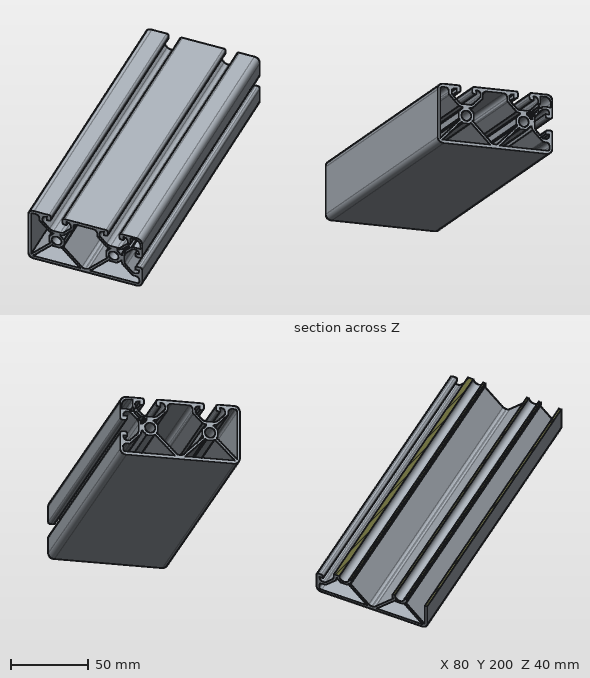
import cadquery as cq
import math

module = 40.0
width = 2 * module
height = module
length = 200.0
half_width = width / 2
half_height = height / 2
hub_offset = module / 2
corner_radius = 4.0
overlap = 2.0

wall = 2.0
face_wall = 2.2
rib_thickness = 1.8
web_rise = 0.5
web_radius = 3.0

hub_half_width = 5.2
hub_half_side = 2.5
screw_hole_radius = 3.5

slot_half_opening = 4.0
lip_width = 2.8
lip_radius = 1.5
lip_end = 15.2
undercut_top = 17.8
undercut_half_width = 10.0
undercut_bottom = 13.5
undercut_radius = 2.5
slot_floor = 7.5
slot_bend_radius = 1.0
floor_radius = 4.0

liner_half_width = undercut_half_width + face_wall
middle_liner_half_width = 11.5
liner_slope_offset = 1.2
liner_bend_radius = 1.2
liner_floor = 6.2
liner_toe = 5.5
liner_root_radius = 2.5
cavity_radius = 1.5

inner_left = -half_width + wall
inner_right = half_width - wall
inner_top = half_height - face_wall
inner_bottom = -half_height + face_wall
rib_shift = rib_thickness / 2 * math.sqrt(2)


def prism(corners):
    """Extrude a closed outline along Y; each corner is (x, z) or (x, z, fillet radius)."""
    count = len(corners)
    arcs = []
    for i, corner in enumerate(corners):
        point = cq.Vector(*corner[:2])
        radius = corner[2] if len(corner) > 2 else 0
        if radius == 0:
            arcs.append((point,))
            continue
        back = (cq.Vector(*corners[i - 1][:2]) - point).normalized()
        ahead = (cq.Vector(*corners[(i + 1) % count][:2]) - point).normalized()
        half_angle = back.getAngle(ahead) / 2
        tangent = radius / math.tan(half_angle)
        to_arc = radius / math.sin(half_angle) - radius
        middle = point + (back + ahead).normalized() * to_arc
        arcs.append((point + back * tangent, middle, point + ahead * tangent))

    outline = cq.Workplane("XZ").moveTo(arcs[0][-1].x, arcs[0][-1].y)
    for arc in arcs[1:] + arcs[:1]:
        outline = outline.lineTo(arc[0].x, arc[0].y)
        if len(arc) == 3:
            outline = outline.threePointArc(arc[1].toTuple()[:2], arc[2].toTuple()[:2])
    return outline.close().extrude(length / 2, both=True)


def screw_hole(x):
    return cq.Workplane("XZ").center(x, 0).circle(screw_hole_radius).extrude(length / 2, both=True)


def hub(x):
    """Octagonal boss with flats facing along X and Z."""
    boss = cq.Workplane("XY").box(2 * hub_half_width, length, 2 * hub_half_width)
    boss = boss.edges("|Y").chamfer(hub_half_width - hub_half_side)
    return boss.translate((x, 0, 0))


def mirrored(half):
    """Complete an outline whose right half is given, mirroring it about X = 0."""
    return half + [(-corner[0], *corner[1:]) for corner in reversed(half)]


def shifted(corners, x):
    return [(corner[0] + x, *corner[1:]) for corner in corners]


def slot_cutter():
    """T-slot opening upward over a hub at the origin."""
    inner_lip = slot_half_opening + lip_width
    mouth = slot_half_opening + lip_radius + overlap
    floor_half_width = slot_floor - undercut_bottom + undercut_half_width
    half = [
        (mouth, half_height + overlap),
        (mouth, half_height),
        (slot_half_opening, half_height, lip_radius),
        (slot_half_opening, lip_end, lip_radius),
        (inner_lip, lip_end),
        (inner_lip, undercut_top),
        (undercut_half_width, undercut_top, undercut_radius),
        (undercut_half_width, undercut_bottom, slot_bend_radius),
        (floor_half_width, slot_floor, floor_radius),
    ]
    return prism(mirrored(half))


def liner_side(top, outside_half_width):
    """Right outside of a slot liner, from the outer wall down to where it joins the hub."""
    return [
        (outside_half_width, top, liner_root_radius),
        (outside_half_width, outside_half_width + liner_slope_offset, liner_bend_radius),
        (liner_floor - liner_slope_offset, liner_floor),
        (hub_half_side, liner_toe),
        (hub_half_side, 0),
    ]


def left_cavity():
    liner = [(-corner[0], *corner[1:]) for corner in liner_side(inner_top, liner_half_width)]
    return prism(
        [(inner_left, inner_top, cavity_radius)]
        + shifted(liner, -hub_offset)
        + [(-hub_offset - rib_shift, 0), (inner_left, inner_left + hub_offset + rib_shift)]
    )


def middle_cavity():
    web_bottom = inner_bottom + web_rise
    left_half = shifted(liner_side(inner_top, middle_liner_half_width), -hub_offset)
    left_half += [
        (-hub_offset + rib_shift, 0),
        (-hub_offset + rib_shift - web_bottom, web_bottom, web_radius),
    ]
    return prism(mirrored(left_half))


def lower_left_cavity():
    reach = -inner_bottom - rib_shift
    return prism(
        [
            (-hub_offset - reach, inner_bottom),
            (-hub_offset, -rib_shift),
            (-hub_offset + reach, inner_bottom),
        ]
    )


def lower_right_cavity():
    upright = liner_side(inner_right - hub_offset, liner_half_width)
    liner = [(corner[1], -corner[0], *corner[2:]) for corner in upright]
    return prism(
        shifted(liner, hub_offset)
        + [
            (hub_offset, -rib_shift),
            (hub_offset + inner_bottom + rib_shift, inner_bottom),
            (inner_right, inner_bottom, cavity_radius),
        ]
    )


def corner_cavity():
    """Pocket behind the outer corner, notched toward the web between the two slot liners.

    Coordinates are measured from the right hub.
    """
    near = 11.5
    near_radius = 0.5
    roof = 18.5
    side = 18.8
    notch = 10.5
    notch_end = 12.2
    slope_end = notch_end + near - notch
    corners = [
        (near, roof, near_radius),
        (near, slope_end),
        (notch, notch_end),
        (notch, notch, cavity_radius),
        (notch_end, notch),
        (slope_end, near),
        (side, near),
        (side, roof, corner_radius),
    ]
    return prism(shifted(corners, hub_offset))


def diagonal_channel():
    """Narrow 45 degree channel between the two slot liners, widening toward the hub.

    Coordinates are measured from the right hub.
    """
    half_gap = 0.5
    tip = 10.0
    upper_bend = 6.2
    upper_shoulder = (4.2, 6.8)
    upper_toe = (3.5, liner_floor)
    side_bend = 7.8
    side_shoulder = (side_bend, 5.5)
    side_toe = (liner_floor, 4.0)
    corners = [
        (tip - half_gap, tip + half_gap),
        (upper_bend, upper_bend + 2 * half_gap),
        upper_shoulder,
        upper_toe,
        (hub_half_side, liner_floor),
        (hub_half_side, hub_half_side),
        (liner_floor, hub_half_side),
        side_toe,
        side_shoulder,
        (side_bend, side_bend - 2 * half_gap),
        (tip + half_gap, tip - half_gap),
    ]
    return prism(shifted(corners, hub_offset))


body = cq.Workplane("XY").box(width, length, height).edges("|Y").fillet(corner_radius)

for cavity in (
    left_cavity(),
    middle_cavity(),
    lower_left_cavity(),
    lower_right_cavity(),
    corner_cavity(),
    diagonal_channel(),
):
    body = body.cut(cavity)

for hub_x in (-hub_offset, hub_offset):
    body = body.union(hub(hub_x))
    body = body.cut(screw_hole(hub_x))
    body = body.cut(slot_cutter().translate((hub_x, 0, 0)))

side_slot = slot_cutter().rotate((0, 0, 0), (0, 1, 0), 90).translate((hub_offset, 0, 0))
result = body.cut(side_slot)